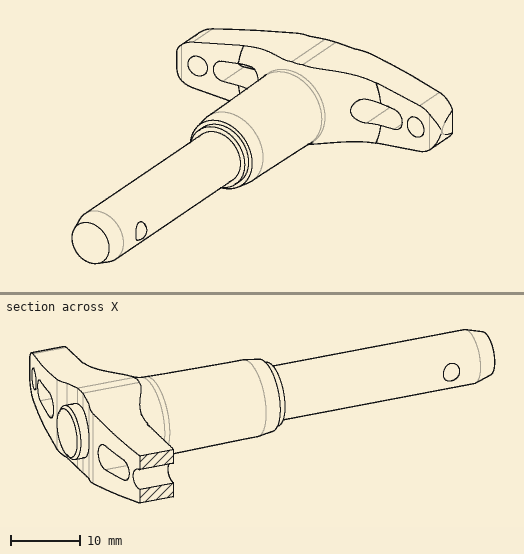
import cadquery as cq
import math


pin_radius = 3.97
pin_tip_y = -33.77
tip_chamfer_y = -31.17
tip_radius = 3.2

ball_radius = 1.45
ball_reach = 4.755
ball_y = -26.6

button_top_y = 32.27
button_chamfer = 0.4

collar_radius = 4.71
collar_top_y = 1.02
grip_end_radius = 5.32
grip_bevel_radius = 5.65
grip_bevel_y = 3.4
grip_radius = 5.87
grip_top_y = 18.7

flare_start_y = 19.5
flare_center_y = 18.87
flare_fillet = 5.75

handle_half_length = 22.59
handle_half_thickness = 6.35
flat_half_width = 0.93
end_radius = 3.7

top_center_y = 30.2
dish_x, dish_y = 3.9, 30.55
crest_x, crest_y = 6.4, 31.02
crest_round_x, crest_round_y = 5.2, 30.94
shoulder_x, shoulder_y = 13.5, 30.17
end_top_x, end_top_y = 22.1, 28.3
end_face_bottom_y = 24.75
underside_slope = math.radians(7)
bottom_corner_fillet = 1.2

hole_x = 18.65
hole_radius = 1.55
slot_outer_x = 14.57
slot_outer_radius = 1.6
slot_inner_x = 9.78
slot_inner_radius = 1.9

flare_center_r = grip_radius + flare_fillet


def flare_point(angle):
    """Point on the flare arc, with the angle measured from +Y towards +X."""
    radius = flare_center_r + flare_fillet * math.sin(angle)
    height = flare_center_y + flare_fillet * math.cos(angle)
    return radius, height


flare_start_angle = math.asin((flare_start_y - flare_center_y) / flare_fillet) - math.pi / 2
flare_tip_r, flare_tip_y = flare_point(underside_slope)
underside_center_y = flare_tip_y + flare_tip_r * math.tan(underside_slope)
underside_end_y = underside_center_y - handle_half_length * math.tan(underside_slope)


def revolve_about_pin_axis(profile):
    return profile.close().revolve(360, (0, 0, 0), (0, 1, 0))


def mirrored_pair(right_half):
    return right_half.union(right_half.mirror("YZ"))


def make_handle_bar():
    arm_profile = (
        cq.Workplane("XY", origin=(0, 0, -handle_half_thickness))
        .moveTo(0, underside_center_y)
        .lineTo(0, top_center_y)
        .lineTo(flat_half_width, top_center_y)
        .lineTo(dish_x, dish_y)
        .threePointArc((crest_round_x, crest_round_y), (crest_x, crest_y))
        .threePointArc((shoulder_x, shoulder_y), (end_top_x, end_top_y))
        .lineTo(handle_half_length, end_face_bottom_y)
        .lineTo(handle_half_length, underside_end_y)
        .close()
        .extrude(2 * handle_half_thickness)
    )
    bottom_corner = cq.selectors.NearestToPointSelector((handle_half_length, underside_end_y, 0))
    arm = arm_profile.edges(bottom_corner).fillet(bottom_corner_fillet)
    return mirrored_pair(arm)


def make_handle_outline():
    """Tapered outline with round ends tangent to its sides, extruded along the pin axis."""
    end_center_x = handle_half_length - end_radius
    taper_run = end_center_x - flat_half_width
    center_distance = math.hypot(taper_run, handle_half_thickness)
    taper_angle = math.atan2(handle_half_thickness, taper_run) - math.asin(end_radius / center_distance)
    tangent_x = end_center_x + end_radius * math.sin(taper_angle)
    tangent_z = end_radius * math.cos(taper_angle)
    half = (
        cq.Workplane("XZ")
        .moveTo(0, -handle_half_thickness)
        .lineTo(flat_half_width, -handle_half_thickness)
        .lineTo(tangent_x, -tangent_z)
        .threePointArc((handle_half_length, 0), (tangent_x, tangent_z))
        .lineTo(flat_half_width, handle_half_thickness)
        .lineTo(0, handle_half_thickness)
        .close()
        .extrude(-button_top_y)
    )
    return mirrored_pair(half)


def make_flare():
    flare_middle_angle = (flare_start_angle + underside_slope) / 2
    return revolve_about_pin_axis(
        cq.Workplane("XY")
        .moveTo(0, grip_top_y)
        .lineTo(grip_radius, grip_top_y)
        .lineTo(*flare_point(flare_start_angle))
        .threePointArc(flare_point(flare_middle_angle), (flare_tip_r, flare_tip_y))
        .lineTo(flare_tip_r, end_top_y)
        .lineTo(0, end_top_y)
    )


def make_arm_openings():
    """Round hole and tapered slot through one arm, with the slot sides tangent to its ends."""
    lean = math.asin((slot_inner_radius - slot_outer_radius) / (slot_outer_x - slot_inner_x))

    def tangent_point(center_x, radius, side):
        return center_x + radius * math.sin(lean), side * radius * math.cos(lean)

    slot = (
        cq.Workplane("XZ")
        .moveTo(*tangent_point(slot_inner_x, slot_inner_radius, -1))
        .lineTo(*tangent_point(slot_outer_x, slot_outer_radius, -1))
        .threePointArc(
            (slot_outer_x + slot_outer_radius, 0),
            tangent_point(slot_outer_x, slot_outer_radius, 1),
        )
        .lineTo(*tangent_point(slot_inner_x, slot_inner_radius, 1))
        .threePointArc(
            (slot_inner_x - slot_inner_radius, 0),
            tangent_point(slot_inner_x, slot_inner_radius, -1),
        )
        .close()
        .extrude(-button_top_y)
    )
    hole = cq.Workplane("XZ").center(hole_x, 0).circle(hole_radius).extrude(-button_top_y)
    return slot.union(hole)


def make_handle():
    handle = make_handle_bar().union(make_flare()).intersect(make_handle_outline())
    return handle.cut(mirrored_pair(make_arm_openings()))


def make_pin_and_grip():
    return revolve_about_pin_axis(
        cq.Workplane("XY")
        .moveTo(0, pin_tip_y)
        .lineTo(tip_radius, pin_tip_y)
        .lineTo(pin_radius, tip_chamfer_y)
        .lineTo(pin_radius, 0)
        .lineTo(collar_radius, 0)
        .lineTo(collar_radius, collar_top_y)
        .lineTo(grip_end_radius, collar_top_y)
        .lineTo(grip_bevel_radius, grip_bevel_y)
        .lineTo(grip_radius, grip_top_y)
        .lineTo(0, grip_top_y)
    )


def make_button():
    button = cq.Workplane("XZ", origin=(0, grip_top_y, 0)).circle(pin_radius)
    return button.extrude(grip_top_y - button_top_y).faces(">Y").edges().chamfer(button_chamfer)


def make_balls():
    ball = cq.Workplane("XY").sphere(ball_radius)
    return mirrored_pair(ball.translate((ball_reach - ball_radius, ball_y, 0)))


result = make_handle().union(make_pin_and_grip()).union(make_button()).union(make_balls())